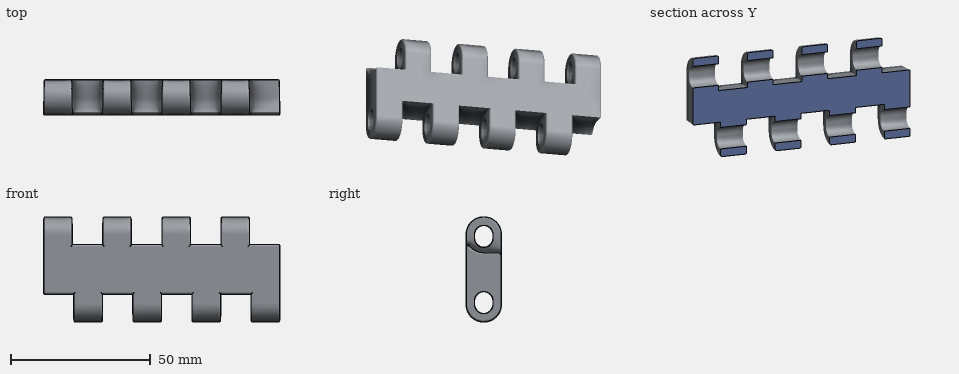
import cadquery as cq
import math

length = 84.7
thickness = 12.7
height = 37.7
draft_angle = 1.0

knuckle_count = 4
knuckle_radius = thickness / 2
knuckle_pitch = length / knuckle_count
upper_knuckle_width = 10.3
lower_knuckle_width = 10.4

clearance_radius = 6.5
rim_radius = 0.85

edge_radius = 0.635

slot_width = 6.5
slot_stretch = 1.3

front_y = -thickness / 2
back_y = thickness / 2
middle_z = height / 2
lower_axis_z = knuckle_radius
lower_row_start = length - lower_knuckle_width - (knuckle_count - 1) * knuckle_pitch
draft_slope = math.tan(math.radians(draft_angle))
draft_inset = thickness * draft_slope


def drafted_slice(x_start, x_end):
    """Slice through the whole depth, full width at the front and narrowed by the draft at the back."""
    outline = [
        (x_start, front_y),
        (x_end, front_y),
        (x_end - draft_inset, back_y),
        (x_start + draft_inset, back_y),
    ]
    return cq.Workplane("XY").polyline(outline).close().extrude(height)


def web():
    """Plate between the two rows of knuckles, bounded by the upper and lower gap floors."""
    floor_z = lower_axis_z + clearance_radius
    rim_y = front_y + rim_radius
    rim_z = lower_axis_z + math.sqrt(clearance_radius**2 - rim_y**2)
    arc_angle = (math.atan2(rim_z - lower_axis_z, rim_y) + math.pi / 2) / 2
    arc_middle = (
        clearance_radius * math.cos(arc_angle),
        lower_axis_z + clearance_radius * math.sin(arc_angle),
    )
    half = (
        cq.Workplane("YZ")
        .moveTo(front_y, middle_z)
        .lineTo(front_y, rim_z + rim_radius)
        .radiusArc((rim_y, rim_z), -rim_radius)
        .threePointArc(arc_middle, (0, floor_z))
        .lineTo(back_y, floor_z + back_y * draft_slope)
        .lineTo(back_y, middle_z)
        .close()
        .extrude(length)
    )
    both_halves = half.union(half.mirror("XY", (0, 0, middle_z)))
    return both_halves.intersect(drafted_slice(0, length))


def knuckle(x_start, x_end, half_z):
    """One lug with rounded gap walls, cut off at mid-height so that its root is buried in the web."""
    lug = (
        cq.Workplane("YZ")
        .center(0, middle_z)
        .slot2D(height, thickness, 90)
        .extrude(length)
        .intersect(drafted_slice(x_start, x_end))
    )
    if x_start > 0:
        lug = lug.faces("<X").edges().fillet(edge_radius)
    if x_end < length:
        lug = lug.faces(">X").edges().fillet(edge_radius)
    half_space = (
        cq.Workplane("XY", origin=(0, 0, half_z))
        .rect(3 * length, thickness)
        .extrude(middle_z)
    )
    return lug.intersect(half_space)


def row_of_knuckles(first_x, width, half_z):
    starts = [first_x + index * knuckle_pitch for index in range(knuckle_count)]
    return [knuckle(start, start + width, half_z) for start in starts]


def pin_slots():
    slot_offset = middle_z - lower_axis_z - slot_stretch / 2
    return (
        cq.Workplane("YZ")
        .pushPoints([(0, middle_z - slot_offset), (0, middle_z + slot_offset)])
        .slot2D(slot_width + slot_stretch, slot_width, 90)
        .extrude(length)
    )


leaf = web()
upper_row = row_of_knuckles(0, upper_knuckle_width, middle_z)
lower_row = row_of_knuckles(lower_row_start, lower_knuckle_width, 0)
for lug in upper_row + lower_row:
    leaf = leaf.union(lug)

leaf = leaf.faces("<X or >X").edges().fillet(edge_radius)

result = leaf.cut(pin_slots())